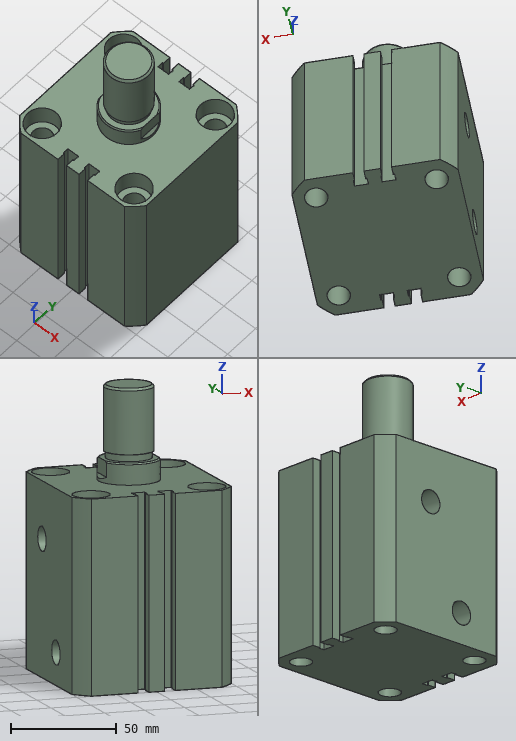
import cadquery as cq

WIDTH = 80.0
HOUSING_HEIGHT = 95.0
CORNER_RADIUS = 51.6

MOUNT_PITCH = 58.0
MOUNT_DIAMETER = 11.0
COUNTERBORE_DIAMETER = 18.0
COUNTERBORE_DEPTH = 11.0

SLOT_PITCH = 13.3
MOUTH_WIDTH = 5.4
MOUTH_DEPTH = 4.7
CHANNEL_WIDTH = 6.6
SLOT_DEPTH = 7.8

PORT_MOUTH_DIAMETER = 12.0
PORT_DEPTH = 18.0
PORT_TAPER = 1 / 16
PORT_OFFSET = 10.0
UPPER_PORT_HEIGHT = 67.0
LOWER_PORT_HEIGHT = 16.0

TOTAL_HEIGHT = 141
COLLAR_DIAMETER = 30.0
COLLAR_TOP = 105.6
COLLAR_CHAMFER = 0.7
UNDERCUT_DIAMETER = 22.3
THREAD_DIAMETER = 24.1
THREAD_BOTTOM = 109.0
THREAD_CHAMFER = 1.1
ACROSS_FLATS = 27.0
FLAT_BOTTOM = 98.0


def make_block():
    square = cq.Workplane("XY").rect(WIDTH, WIDTH).extrude(HOUSING_HEIGHT)
    corner_cylinder = cq.Workplane("XY").circle(CORNER_RADIUS).extrude(HOUSING_HEIGHT)
    return square.intersect(corner_cylinder)


def cut_mounting_holes(block):
    return (
        block.faces(">Z").workplane(origin=(0, 0, HOUSING_HEIGHT))
        .rect(MOUNT_PITCH, MOUNT_PITCH, forConstruction=True).vertices()
        .cboreHole(MOUNT_DIAMETER, COUNTERBORE_DIAMETER, COUNTERBORE_DEPTH)
    )


def make_sensor_slot(x, side):
    """Full-height slot centred on x, cut in from the +Y (side=1) or -Y (side=-1) face."""
    face = side * WIDTH / 2
    channel_top = face - side * MOUTH_DEPTH
    floor = face - side * SLOT_DEPTH
    mouth_half = MOUTH_WIDTH / 2
    channel_half = CHANNEL_WIDTH / 2
    return (
        cq.Workplane("XY")
        .moveTo(x - mouth_half, face)
        .lineTo(x - mouth_half, channel_top)
        .lineTo(x - channel_half, channel_top)
        .lineTo(x - channel_half, floor)
        .lineTo(x + channel_half, floor)
        .lineTo(x + channel_half, channel_top)
        .lineTo(x + mouth_half, channel_top)
        .lineTo(x + mouth_half, face)
        .close()
        .extrude(HOUSING_HEIGHT)
    )


def make_port(y, z):
    """Blind tapered port cut in from the -X face."""
    mouth_radius = PORT_MOUTH_DIAMETER / 2
    floor_radius = mouth_radius - PORT_TAPER * PORT_DEPTH / 2
    return (
        cq.Workplane("XY")
        .moveTo(0, 0)
        .lineTo(0, mouth_radius)
        .lineTo(PORT_DEPTH, floor_radius)
        .lineTo(PORT_DEPTH, 0)
        .close()
        .revolve(360, (0, 0, 0), (1, 0, 0))
        .translate((-WIDTH / 2, y, z))
    )


def make_housing():
    housing = cut_mounting_holes(make_block())
    for side in (-1, 1):
        for x in (-SLOT_PITCH / 2, SLOT_PITCH / 2):
            housing = housing.cut(make_sensor_slot(x, side))
    housing = housing.cut(make_port(PORT_OFFSET, UPPER_PORT_HEIGHT))
    housing = housing.cut(make_port(-PORT_OFFSET, LOWER_PORT_HEIGHT))
    return housing


def make_wrench_flat(side):
    """Cutter for one flat on the collar; its lower end runs out at 45 degrees."""
    flat_x = side * ACROSS_FLATS / 2
    edge_x = side * COLLAR_DIAMETER / 2
    runout = (COLLAR_DIAMETER - ACROSS_FLATS) / 2
    return (
        cq.Workplane("XZ")
        .moveTo(flat_x, COLLAR_TOP)
        .lineTo(flat_x, FLAT_BOTTOM)
        .lineTo(edge_x, FLAT_BOTTOM - runout)
        .lineTo(edge_x, COLLAR_TOP)
        .close()
        .extrude(COLLAR_DIAMETER / 2, both=True)
    )


def make_rod():
    """Rod standing on the housing's top face."""
    collar_radius = COLLAR_DIAMETER / 2
    undercut_radius = UNDERCUT_DIAMETER / 2
    thread_radius = THREAD_DIAMETER / 2
    rod = (
        cq.Workplane("XZ")
        .moveTo(0, HOUSING_HEIGHT)
        .lineTo(collar_radius, HOUSING_HEIGHT)
        .lineTo(collar_radius, COLLAR_TOP - COLLAR_CHAMFER)
        .lineTo(collar_radius - COLLAR_CHAMFER, COLLAR_TOP)
        .lineTo(undercut_radius, COLLAR_TOP)
        .lineTo(undercut_radius, THREAD_BOTTOM)
        .lineTo(thread_radius, THREAD_BOTTOM)
        .lineTo(thread_radius, TOTAL_HEIGHT - THREAD_CHAMFER)
        .lineTo(thread_radius - THREAD_CHAMFER, TOTAL_HEIGHT)
        .lineTo(0, TOTAL_HEIGHT)
        .close()
        .revolve(360, (0, 0, 0), (0, 1, 0))
    )
    for side in (-1, 1):
        rod = rod.cut(make_wrench_flat(side))
    return rod


housing = make_housing()
rod = make_rod()
result = cq.Compound.makeCompound([housing.val(), rod.val()])